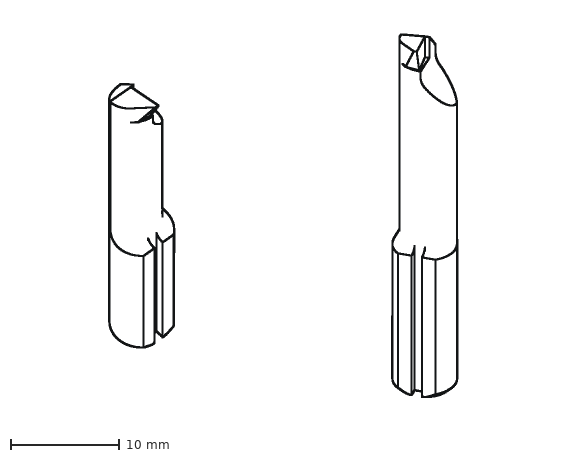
import cadquery as cq
import math

length = 37.0
shank_diameter = 6.0
shank_radius = shank_diameter / 2
flat_x = 2.35
shank_length = 15.0
end_chamfer = 0.5

neck_axis_x = -1.25
neck_radius = 2.75
neck_edge_x = neck_axis_x + neck_radius
shoulder_fillet = 0.8

groove_width = 1.0
groove_depth = flat_x - neck_edge_x

half_face_y = 0.07
slope_start_z = 29.97
slope_tilt = math.radians(40)
slope_fillet = 1.8

tip_base_z = 34.37
relief_x = 0.65
flank_tilt = math.radians(21.5)
flank_clearance = math.radians(8)
top_slope_x = math.radians(5.7)
top_slope_y = math.radians(8)
back_chamfer_z = 34.75
back_clearance = math.radians(3)

gullet_wall_x = -1.22
gullet_floor_x = -1.07
gullet_depth = 0.35

margin = 7.4


def make_shank():
    bar = cq.Workplane("XY").circle(shank_radius).extrude(length)
    return bar.faces("<Z").chamfer(end_chamfer)


def make_neck_sleeve():
    """Material turned off around the neck, rounded where it meets the shoulder."""
    outer_radius = neck_radius + margin
    profile = (
        cq.Workplane("XZ")
        .moveTo(neck_radius, length)
        .lineTo(neck_radius, shank_length + shoulder_fillet)
        .radiusArc((neck_radius + shoulder_fillet, shank_length), -shoulder_fillet)
        .lineTo(outer_radius, shank_length)
        .lineTo(outer_radius, length)
        .close()
    )
    sleeve = profile.revolve(360, (0, 0, 0), (0, 1, 0)).translate((neck_axis_x, 0, 0))
    turned_side = cq.Workplane("XY").box(
        2 * margin, 4 * margin, length, centered=(False, True, False)
    ).translate((neck_axis_x, 0, 0))
    return sleeve.intersect(turned_side)


def make_flat_cut():
    return cq.Workplane("XY").box(
        margin, 2 * margin, length, centered=(False, True, False)
    ).translate((flat_x, 0, 0))


def make_groove():
    height = shank_length + shoulder_fillet
    return cq.Workplane("XY").box(
        groove_depth, groove_width, height, centered=(False, True, False)
    ).translate((neck_edge_x, 0, 0))


def make_tip_block():
    """Block for the tip: 45 degree relief on its -Y side, almost tangent to the neck."""
    relief_y = -math.sqrt(neck_radius**2 - (relief_x - neck_axis_x) ** 2)
    return (
        cq.Workplane("XY", origin=(0, 0, tip_base_z))
        .moveTo(relief_x, 0)
        .lineTo(relief_x, relief_y)
        .lineTo(flat_x, relief_y + flat_x - relief_x)
        .lineTo(flat_x, 0)
        .close()
        .extrude(length - tip_base_z)
    )


def make_half_cut():
    """Removes the +Y half of the head down to a rounded run-out slope."""
    slope_start_y = neck_radius
    slope_end_z = slope_start_z + (slope_start_y - half_face_y) / math.tan(slope_tilt)
    bend_setback = slope_fillet * math.tan(slope_tilt / 2)
    bend_y = half_face_y + bend_setback * math.sin(slope_tilt)
    bend_z = slope_end_z - bend_setback * math.cos(slope_tilt)
    outer_y = slope_start_y + margin
    outer_z = slope_start_z - margin / math.tan(slope_tilt)
    return (
        cq.Workplane("YZ", origin=(-margin, 0, 0))
        .moveTo(half_face_y, length + margin)
        .lineTo(half_face_y, slope_end_z + bend_setback)
        .radiusArc((bend_y, bend_z), -slope_fillet)
        .lineTo(outer_y, outer_z)
        .lineTo(outer_y, length + margin)
        .close()
        .extrude(2 * margin)
    )


def make_gullet():
    return (
        cq.Workplane("XY", origin=(0, 0, tip_base_z))
        .moveTo(gullet_wall_x, half_face_y)
        .lineTo(gullet_floor_x, -gullet_depth)
        .lineTo(flat_x, 0)
        .lineTo(flat_x, half_face_y)
        .close()
        .extrude(length)
    )


def make_flank_cut():
    """Leans the tip's +X flank back below the point and away from the cutting edge."""
    height = length - tip_base_z
    base_x = flat_x - height * math.tan(flank_tilt)
    shear_x = margin * math.tan(flank_clearance)

    def flank_section(y, shift):
        return cq.Wire.makePolygon(
            [
                cq.Vector(base_x + shift, y, tip_base_z),
                cq.Vector(flat_x + shift, y, length),
                cq.Vector(flat_x + margin, y, length),
                cq.Vector(flat_x + margin, y, tip_base_z),
            ],
            close=True,
        )

    sections = [flank_section(-margin, -shear_x), flank_section(margin, shear_x)]
    return cq.Workplane(obj=cq.Solid.makeLoft(sections, True))


def make_space_above(point, normal):
    """Thick slab on the normal side of a plane, large enough to cut the whole head."""
    plane = cq.Plane(origin=point, normal=normal)
    return cq.Workplane(plane).rect(4 * margin, 4 * margin).extrude(margin)


def make_top_cut():
    """The top face falls away from the point towards -X and -Y."""
    normal = (-math.tan(top_slope_x), -math.tan(top_slope_y), 1)
    return make_space_above((flat_x, 0, length), normal)


def make_back_chamfer():
    """The 45 degree chamfer at the back of the tip, also falling towards -Y."""
    normal = (-1, -math.tan(back_clearance), 1)
    return make_space_above((-shank_radius, 0, back_chamfer_z), normal)


body = make_shank()
body = body.cut(make_neck_sleeve())
body = body.cut(make_flat_cut())
body = body.cut(make_groove())
body = body.union(make_tip_block())
body = body.cut(make_half_cut())
body = body.cut(make_gullet())
body = body.cut(make_flank_cut())
body = body.cut(make_top_cut())
result = body.cut(make_back_chamfer())